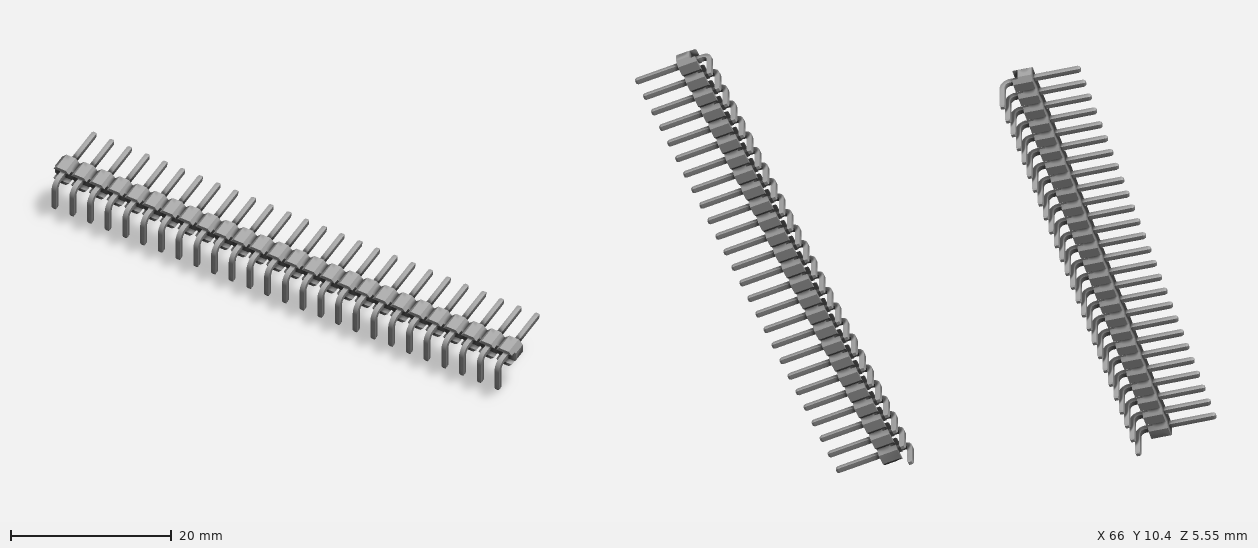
import cadquery as cq
import math

pin_count = 26
row_length = 66.05
total_depth = 10.4
total_height = 5.55
pitch = row_length / pin_count

body_height = pitch
body_depth = 2.5
top_flat = 1.3
joint_height = 1.25
channel_height = 1.6
channel_depth = 0.7

pin_width = 0.64
bend_outer_radius = 1.3
bend_inner_radius = bend_outer_radius - pin_width
tail_reach = 6.0
leg_reach = total_depth - body_depth - tail_reach
leg_drop = total_height - body_height / 2
tip_inset = 0.1
tip_length = 0.25

half_pin = pin_width / 2
leg_outer_y = -body_depth / 2 - leg_reach
bend_y = leg_outer_y + bend_outer_radius
bend_z = half_pin - bend_outer_radius
tail_shoulder_y = body_depth / 2 + tail_reach - tip_length
leg_shoulder_z = tip_length - leg_drop
tip_width = pin_width - 2 * tip_inset
pin_positions = [(i - (pin_count - 1) / 2) * pitch for i in range(pin_count)]


def make_cell(x):
    """One octagonal cell of the insulator, centred on its pin."""
    half_pitch = pitch / 2
    half_flat = top_flat / 2
    half_joint = joint_height / 2
    half_height = body_height / 2
    outline = [
        (-half_pitch, -half_joint),
        (-half_flat, -half_height),
        (half_flat, -half_height),
        (half_pitch, -half_joint),
        (half_pitch, half_joint),
        (half_flat, half_height),
        (-half_flat, half_height),
        (-half_pitch, half_joint),
    ]
    cell = cq.Workplane("XZ").polyline(outline).close().extrude(body_depth / 2, both=True)
    return cell.translate((x, 0, 0))


def make_channel():
    """Block removed along the -Y face, leaving a lip above and below the pins."""
    channel_y = (channel_depth - body_depth) / 2
    return cq.Workplane("XY").box(row_length, channel_depth, channel_height).translate((0, channel_y, 0))


def make_tip(base_plane):
    """Tapered end of a pin, growing from a shoulder plane."""
    return (
        cq.Workplane(base_plane)
        .rect(pin_width, pin_width)
        .workplane(offset=tip_length)
        .rect(tip_width, tip_width)
        .loft(combine=True)
    )


def make_pin():
    """Square pin at X = 0: straight tail, quarter bend, leg and two tapered tips."""
    diagonal = math.sqrt(0.5)
    outer_mid = (bend_y - bend_outer_radius * diagonal, bend_z + bend_outer_radius * diagonal)
    inner_mid = (bend_y - bend_inner_radius * diagonal, bend_z + bend_inner_radius * diagonal)
    shank = (
        cq.Workplane("YZ")
        .moveTo(tail_shoulder_y, half_pin)
        .lineTo(bend_y, half_pin)
        .threePointArc(outer_mid, (leg_outer_y, bend_z))
        .lineTo(leg_outer_y, leg_shoulder_z)
        .lineTo(leg_outer_y + pin_width, leg_shoulder_z)
        .lineTo(leg_outer_y + pin_width, bend_z)
        .threePointArc(inner_mid, (bend_y, -half_pin))
        .lineTo(tail_shoulder_y, -half_pin)
        .close()
        .extrude(half_pin, both=True)
    )
    tail_plane = cq.Plane(origin=(0, tail_shoulder_y, 0), xDir=(1, 0, 0), normal=(0, 1, 0))
    leg_plane = cq.Plane(
        origin=(0, leg_outer_y + half_pin, leg_shoulder_z), xDir=(1, 0, 0), normal=(0, 0, -1)
    )
    tail_tip = make_tip(tail_plane)
    leg_tip = make_tip(leg_plane)
    return shank.union(tail_tip).union(leg_tip)


def fuse(pieces):
    """Join a list of shapes into one."""
    return pieces[0].newObject([pieces[0].val().fuse(*[piece.val() for piece in pieces[1:]])])


body = fuse([make_cell(x) for x in pin_positions]).cut(make_channel())
pin = make_pin()
pins = [pin.translate((x, 0, 0)) for x in pin_positions]
result = fuse([body] + pins).clean()